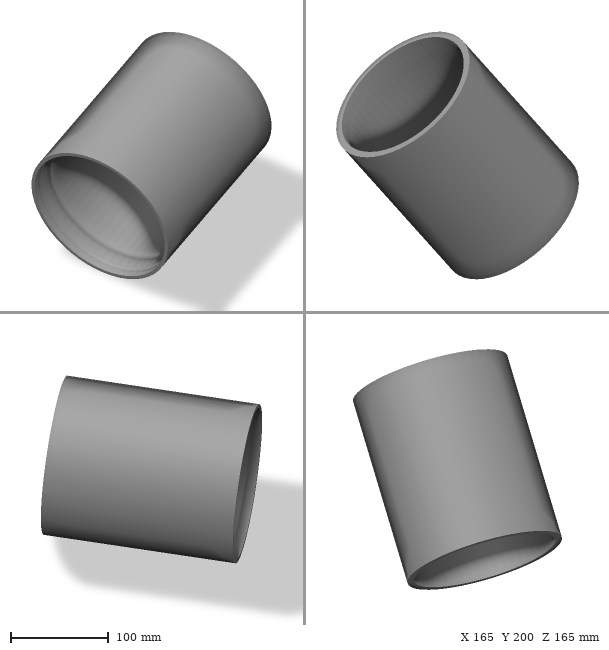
import cadquery as cq

length = 200.0
outer_radius = 165.0 / 2
bore_radius = 75.5
mouth_radius = 78.5
seat_radius = 77.8

mouth_depth = 8.5
seat_start = 11.2
seat_end = 26.8
bore_start = 29.5

mouth_y = -length / 2

section = (
    cq.Workplane(cq.Plane(origin=(0, 0, 0), xDir=(0, 0, 1), normal=(-1, 0, 0)))
    .moveTo(outer_radius, mouth_y)
    .lineTo(mouth_radius, mouth_y)
    .lineTo(mouth_radius, mouth_y + mouth_depth)
    .lineTo(seat_radius, mouth_y + seat_start)
    .lineTo(seat_radius, mouth_y + seat_end)
    .lineTo(bore_radius, mouth_y + bore_start)
    .lineTo(bore_radius, mouth_y + length)
    .lineTo(outer_radius, mouth_y + length)
    .close()
)

result = section.revolve(360, (0, 0, 0), (0, 1, 0))